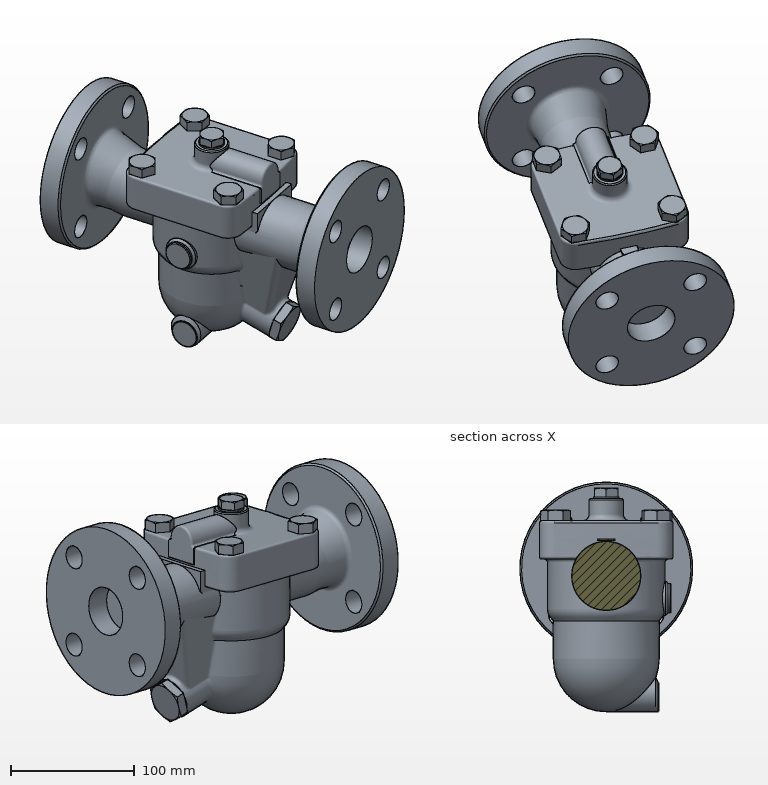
import math

import cadquery as cq


FACE_TO_FACE = 260.0
INLET_FACE_X = -120.0
MID_X = INLET_FACE_X + FACE_TO_FACE / 2
FLANGE_DIA = 140.0
FLANGE_THICKNESS = 18.5
FLANGE_EDGE_CHAMFER = 1.5
FLANGE_BOLT_CIRCLE = 105.0
FLANGE_HOLE_DIA = 19.0
PORT_DIA = 40.0
PORT_DEPTH = 20.0
PIPE_DIA = 56.0
PIPE_Z = -6.0
NECK_TILT = 10.0
NECK_FLARE = 11.0
NECK_FILLET = 4.0
MITRE_X = -71.0
NECK_STRAIGHT = 11.0
ROOT_PICK_MARGIN = 0.5

DOME_RADIUS = 43.0
DOME_CENTER_Z = -73.0
UPPER_RADIUS = 47.6
BODY_ROOT_FILLET = 2.5
SHOULDER_TOP_Z = -33.0
SHOULDER_LOWER_RADIUS = 44.5
SHOULDER_LOWER_Z = -40.5
SHOULDER_FOOT_Z = -42.5

PARTING_Z = 24.0
COVER_TOP_Z = 38.7
BODY_FLANGE_BASE_Z = 7.5
COVER_HALF_Y = 54.0
COVER_HALF_X = 55.0
COVER_SIDE_BULGE = 2.5
COVER_CORNER_RADIUS = 13.0
COVER_EDGE_FILLET = 2.0

BOLT_OFFSET = 41.0
BOLT_FLATS = 21.0
BOLT_HEAD_HEIGHT = 8.6
HEX_CHAMFER_DROP = 0.8
TOP_BOSS_DIA = 28.0
TOP_BOSS_Z = 56.5
TOP_BOSS_FILLET = 5.0
TOP_BOSS_CHAMFER = 1.0
PLUG_FLATS = 19.0
PLUG_TOP_Z = 65.0
PLUG_SEAT_DIA = 21.0
PLUG_SEAT_HEIGHT = 1.5

RIDGE_RADIUS = 12.8
RIDGE_CENTER_Z = 41.0
RIDGE_END_X = 56.0
RIDGE_FOOT_FILLET = 1.9

PAD_END_X = 59.5
PAD_HALF_Y = 26.5
PAD_BASE_Z = 2.5
PAD_TOP_Z = 22.0
PAD_FILLET = 4.0
TAB_DIA = 14.0
TAB_CENTER_X = -58.0
TAB_THICKNESS = 1.5

BOSS_DIA = 24.0
BOSS_ROOT_DIA = 28.0
BOSS_ROOT_SPREAD = 2.0
BOSS_EDGE_CHAMFER = 0.8
UPPER_BOSS_Z = -24.0
UPPER_BOSS_Y = -52.5
UPPER_BOSS_ROOT_Y = -48.0
LOWER_BOSS_Z = -104.0
LOWER_BOSS_Y = -42.5
LOWER_BOSS_ROOT_Y = -40.0
LOWER_BOSS_ROOT_Z = LOWER_BOSS_Z + (BOSS_ROOT_DIA - BOSS_DIA) / 2

BRANCH_TILT = 15.0
BRANCH_END = (73.5, 0.0, -92.8)
BRANCH_DIA = 34.0
BRANCH_LENGTH = 60.0
CAP_FLATS = 31.5
CAP_THICKNESS = 8.0
CAP_CORNER_ANGLE = 30

WEB_END_SETBACK = 12.5
WEB_LENGTH = 55.0
WEB_HEIGHT = 78.0
WEB_HALF_WIDTH = 13.7
WEB_TAPER = 0.17
WEB_FILLET = 5.5

CASTING_FILLET = 3.0
BLEND_START_X = 32.0
BLEND_DEPTH = 4.0
BLEND_TOP_Z = -30.0


def cylinder(origin, direction, diameter, length):
    solid = cq.Solid.makeCylinder(diameter / 2, length, cq.Vector(*origin), cq.Vector(*direction))
    return cq.Workplane(solid)


def hex_head(plane, flats, height, corner_angle):
    """Hexagon head with its free end turned down to a cone."""
    corner_dia = flats / math.cos(math.pi / 6)
    head = cq.Workplane(plane).transformed(rotate=(0, 0, corner_angle)).polygon(6, corner_dia).extrude(height)
    cone_run = (corner_dia - flats) / 2
    free_end = cq.selectors.DirectionMinMaxSelector(plane.zDir, True)
    turned = cq.Workplane(plane).circle(corner_dia / 2).extrude(height)
    turned = turned.faces(free_end).chamfer(HEX_CHAMFER_DROP, cone_run)
    return head.intersect(turned)


def inlet_neck():
    """Flange, tilted conical neck and the mitred pipe up to the body axis."""
    tilt = math.radians(NECK_TILT)
    axis = cq.Vector(math.cos(tilt), 0, -math.sin(tilt))
    bend = cq.Vector(MITRE_X, 0, PIPE_Z)
    neck_end = bend - axis * NECK_STRAIGHT
    inner_x = INLET_FACE_X + FLANGE_THICKNESS

    flange = cylinder((INLET_FACE_X, 0, 0), (1, 0, 0), FLANGE_DIA, FLANGE_THICKNESS)
    flange = flange.faces(">X").edges().chamfer(FLANGE_EDGE_CHAMFER)

    cone_length = (neck_end.x - INLET_FACE_X - FLANGE_THICKNESS / 2) / math.cos(tilt)
    root_radius = PIPE_DIA / 2 + cone_length * math.tan(math.radians(NECK_FLARE))
    cone = cq.Workplane(cq.Solid.makeCone(PIPE_DIA / 2, root_radius, cone_length, neck_end, axis * -1))
    neck = flange.union(cone)
    root = cq.selectors.BoxSelector(
        (inner_x - ROOT_PICK_MARGIN, -FLANGE_BOLT_CIRCLE / 2, -FLANGE_BOLT_CIRCLE / 2),
        (inner_x + ROOT_PICK_MARGIN, FLANGE_BOLT_CIRCLE / 2, FLANGE_BOLT_CIRCLE / 2),
        boundingbox=True)
    neck = neck.edges(root).fillet(NECK_FILLET)

    mitre = cq.Plane(bend, (0, 1, 0), (math.cos(tilt / 2), 0, -math.sin(tilt / 2)))
    block = 4 * PIPE_DIA
    flange_side = cq.Workplane(mitre).rect(block, block).extrude(-block)
    tilted = cylinder(neck_end.toTuple(), axis.toTuple(), PIPE_DIA, 2 * NECK_STRAIGHT).intersect(flange_side)
    level = cylinder((MITRE_X - PIPE_DIA, 0, PIPE_Z), (1, 0, 0), PIPE_DIA, PIPE_DIA - MITRE_X).cut(flange_side)
    return neck.union(tilted).union(level)


def flange_drillings():
    """Port and bolt holes of the inlet flange."""
    holes = cylinder((INLET_FACE_X, 0, 0), (1, 0, 0), PORT_DIA, PORT_DEPTH)
    pitch = FLANGE_BOLT_CIRCLE / 2 * math.sin(math.pi / 4)
    for y in (-pitch, pitch):
        for z in (-pitch, pitch):
            hole = cylinder((INLET_FACE_X, y, z), (1, 0, 0), FLANGE_HOLE_DIA, FLANGE_THICKNESS)
            holes = holes.union(hole)
    return holes


def mirrored_pair(shape):
    """Inlet-side shape together with its outlet-side mirror image."""
    return shape.union(shape.mirror("YZ", (MID_X, 0, 0)))


def body():
    """Turned body: upper cylinder blended into the flange, stepped in to a domed lower cylinder."""
    dome_mid = DOME_RADIUS * math.sin(math.pi / 4)
    root_z = BODY_FLANGE_BASE_Z - BODY_ROOT_FILLET
    root_sag = BODY_ROOT_FILLET * (1 - math.sin(math.pi / 4))
    return (
        cq.Workplane("XZ")
        .moveTo(0, PARTING_Z)
        .lineTo(UPPER_RADIUS + BODY_ROOT_FILLET, PARTING_Z)
        .lineTo(UPPER_RADIUS + BODY_ROOT_FILLET, BODY_FLANGE_BASE_Z)
        .threePointArc((UPPER_RADIUS + root_sag, BODY_FLANGE_BASE_Z - root_sag), (UPPER_RADIUS, root_z))
        .lineTo(UPPER_RADIUS, SHOULDER_TOP_Z)
        .tangentArcPoint((SHOULDER_LOWER_RADIUS, SHOULDER_LOWER_Z), relative=False)
        .lineTo(DOME_RADIUS, SHOULDER_FOOT_Z)
        .lineTo(DOME_RADIUS, DOME_CENTER_Z)
        .threePointArc((dome_mid, DOME_CENTER_Z - dome_mid), (0, DOME_CENTER_Z - DOME_RADIUS))
        .close()
        .revolve(360, (0, 0, 0), (0, 1, 0))
    )


def cover_block(base_z, top_z):
    """Rounded plate whose two X sides bulge outward."""
    corner_x = COVER_HALF_X - COVER_SIDE_BULGE
    return (
        cq.Workplane("XY", origin=(0, 0, base_z))
        .moveTo(-corner_x, -COVER_HALF_Y)
        .lineTo(corner_x, -COVER_HALF_Y)
        .threePointArc((COVER_HALF_X, 0), (corner_x, COVER_HALF_Y))
        .lineTo(-corner_x, COVER_HALF_Y)
        .threePointArc((-COVER_HALF_X, 0), (-corner_x, -COVER_HALF_Y))
        .close()
        .extrude(top_z - base_z)
        .edges("|Z")
        .fillet(COVER_CORNER_RADIUS)
    )


def ridge():
    """Round-topped ridge with concave feet on the cover."""
    foot = RIDGE_RADIUS + RIDGE_FOOT_FILLET
    foot_z = RIDGE_CENTER_Z - RIDGE_FOOT_FILLET
    sag = RIDGE_FOOT_FILLET * (1 - math.sin(math.pi / 4))
    return (
        cq.Workplane("YZ")
        .moveTo(-foot, PARTING_Z)
        .lineTo(-foot, foot_z)
        .threePointArc((-RIDGE_RADIUS - sag, foot_z + sag), (-RIDGE_RADIUS, RIDGE_CENTER_Z))
        .threePointArc((0, RIDGE_CENTER_Z + RIDGE_RADIUS), (RIDGE_RADIUS, RIDGE_CENTER_Z))
        .threePointArc((RIDGE_RADIUS + sag, foot_z + sag), (foot, foot_z))
        .lineTo(foot, PARTING_Z)
        .close()
        .extrude(RIDGE_END_X)
        .faces(">X")
        .edges(">Z")
        .fillet(RIDGE_FOOT_FILLET)
    )


def cover():
    """Cover with ridge and top boss, joined to the matching body flange below it."""
    plate = cover_block(PARTING_Z, COVER_TOP_Z).faces(">Z").edges().fillet(COVER_EDGE_FILLET)
    lower = cover_block(BODY_FLANGE_BASE_Z, PARTING_Z).faces("<Z").edges().fillet(COVER_EDGE_FILLET)
    boss_radius = TOP_BOSS_DIA / 2
    bend = TOP_BOSS_FILLET * (1 - math.sin(math.pi / 4))
    boss = (
        cq.Workplane("XZ")
        .moveTo(0, PARTING_Z)
        .lineTo(boss_radius + TOP_BOSS_FILLET, PARTING_Z)
        .lineTo(boss_radius + TOP_BOSS_FILLET, COVER_TOP_Z)
        .threePointArc((boss_radius + bend, COVER_TOP_Z + bend), (boss_radius, COVER_TOP_Z + TOP_BOSS_FILLET))
        .lineTo(boss_radius, TOP_BOSS_Z)
        .lineTo(0, TOP_BOSS_Z)
        .close()
        .revolve(360, (0, 0, 0), (0, 1, 0))
        .faces(">Z")
        .edges()
        .chamfer(TOP_BOSS_CHAMFER)
    )
    return plate.union(ridge()).union(boss).union(lower, clean=False)


def cover_bolts():
    """Hexagon heads, turned by half a facet between neighbours."""
    heads = cq.Workplane()
    for x in (-BOLT_OFFSET, BOLT_OFFSET):
        for y in (-BOLT_OFFSET, BOLT_OFFSET):
            corner_angle = 0 if x * y > 0 else 30
            seat = cq.Plane((x, y, COVER_TOP_Z))
            heads = heads.add(hex_head(seat, BOLT_FLATS, BOLT_HEAD_HEIGHT, corner_angle))
    return heads.combine()


def top_plug():
    seat = cylinder((0, 0, TOP_BOSS_Z), (0, 0, 1), PLUG_SEAT_DIA, PLUG_SEAT_HEIGHT)
    head_z = TOP_BOSS_Z + PLUG_SEAT_HEIGHT
    return seat.union(hex_head(cq.Plane((0, 0, head_z)), PLUG_FLATS, PLUG_TOP_Z - head_z, 0))


def outlet_pad():
    height = PAD_TOP_Z - PAD_BASE_Z
    pad = cq.Workplane("XY", origin=(0, 0, PAD_BASE_Z)).box(
        PAD_END_X, 2 * PAD_HALF_Y, height, (False, True, False))
    return pad.edges(">X and <Z").fillet(PAD_FILLET)


def gasket_tab():
    base_z = PARTING_Z - TAB_THICKNESS
    rounded_end = cylinder((TAB_CENTER_X, 0, base_z), (0, 0, 1), TAB_DIA, TAB_THICKNESS)
    strip = cq.Workplane("XY", origin=(TAB_CENTER_X, 0, base_z)).box(
        -TAB_CENTER_X, TAB_DIA, TAB_THICKNESS, (False, True, False))
    return rounded_end.union(strip)


def front_boss(face_y, z, root_y, root_z):
    """Round boss whose root spreads out to a larger circle just clear of the body."""
    boss = cylinder((0, face_y, z), (0, 1, 0), BOSS_DIA, -face_y)
    boss = boss.faces("<Y").edges().chamfer(BOSS_EDGE_CHAMFER)
    root = cylinder((0, root_y, root_z), (0, 1, 0), BOSS_ROOT_DIA, -root_y)
    spread = (
        cq.Workplane("XZ", origin=(0, root_y, 0))
        .center(0, root_z)
        .circle(BOSS_ROOT_DIA / 2)
        .workplane(offset=BOSS_ROOT_SPREAD)
        .center(0, z - root_z)
        .circle(BOSS_DIA / 2)
        .loft(ruled=True)
    )
    return boss.union(root).union(spread)


def branch_plane(setback):
    """Plane square to the branch, local x along Y and local z along the branch outward."""
    tilt = math.radians(BRANCH_TILT)
    axis = cq.Vector(math.cos(tilt), 0, -math.sin(tilt))
    return cq.Plane(cq.Vector(*BRANCH_END) - axis * setback, (0, 1, 0), axis)


def branch():
    return cq.Workplane(branch_plane(CAP_THICKNESS)).circle(BRANCH_DIA / 2).extrude(-BRANCH_LENGTH)


def web():
    """Web that widens from the branch up to the pipe, with a rounded outer end."""
    top_half = WEB_HALF_WIDTH + WEB_TAPER * WEB_HEIGHT
    plate = (
        cq.Workplane(branch_plane(WEB_END_SETBACK))
        .polyline([
            (-WEB_HALF_WIDTH, 0),
            (WEB_HALF_WIDTH, 0),
            (top_half, WEB_HEIGHT),
            (-top_half, WEB_HEIGHT),
        ])
        .close()
        .extrude(-WEB_LENGTH)
    )
    outer_end = cq.selectors.DirectionMinMaxSelector(branch_plane(0).zDir, True)
    return plate.faces(outer_end).edges("not |Y").fillet(WEB_FILLET)


def body_with_branch():
    """Body, branch and web, blended where they meet up to just above the shoulder."""
    casting = body().union(web()).union(branch())
    blend_zone = cq.selectors.BoxSelector(
        (BLEND_START_X, -BRANCH_DIA, BRANCH_END[2] - BLEND_DEPTH),
        (BRANCH_END[0] - CAP_THICKNESS, BRANCH_DIA, BLEND_TOP_Z))
    return casting.edges(blend_zone).fillet(CASTING_FILLET)


result = mirrored_pair(inlet_neck())
result = result.union(body_with_branch())
result = result.union(hex_head(branch_plane(CAP_THICKNESS), CAP_FLATS, CAP_THICKNESS, CAP_CORNER_ANGLE))
result = result.union(front_boss(UPPER_BOSS_Y, UPPER_BOSS_Z, UPPER_BOSS_ROOT_Y, UPPER_BOSS_Z))
result = result.union(front_boss(LOWER_BOSS_Y, LOWER_BOSS_Z, LOWER_BOSS_ROOT_Y, LOWER_BOSS_ROOT_Z))
for part in (cover(), outlet_pad(), gasket_tab(), cover_bolts(), top_plug()):
    result = result.union(part, clean=False)
result = result.cut(mirrored_pair(flange_drillings()), clean=False)